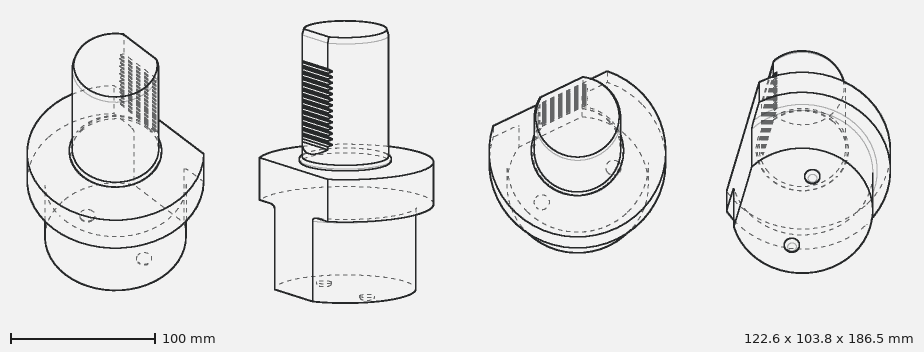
import cadquery as cq
import math

body_diameter = 98.0
body_height = 60.0
flange_diameter = 122.6
flange_height = 30.0
flange_flat_y = 42.5
neck_fillet = 3.0

shank_diameter = 60.0
shank_height = 94.0
shank_flat_y = 25.0
tip_height = 4.1
tip_taper_angle = 15
ramp_start_height = 14.2

groove_count = 14
groove_span = 52.0
first_groove_height = 17.9
groove_depth = 1.9
groove_mouth = 3.2
groove_floor = 0.5

ring_outer_diameter = 64.1
ring_section_radius = (ring_outer_diameter - shank_diameter) / 2
ring_center_height = 1.7

button_diameter = 10.6
button_drop = 2.5
button_rounding = 2.2
button_offset = 27.8

flange_bottom = body_height
flange_top = flange_bottom + flange_height
shank_top = flange_top + shank_height
shank_radius = shank_diameter / 2


def make_base():
    """Revolved body and flange with the neck fillet, trimmed by the common flat."""
    body_radius = body_diameter / 2
    flange_radius = flange_diameter / 2
    fillet_center = (body_radius + neck_fillet, flange_bottom - neck_fillet)
    fillet_reach = neck_fillet * math.sqrt(0.5)
    fillet_middle = (fillet_center[0] - fillet_reach, fillet_center[1] + fillet_reach)
    base = (
        cq.Workplane("XZ")
        .lineTo(body_radius, 0)
        .lineTo(body_radius, fillet_center[1])
        .threePointArc(fillet_middle, (fillet_center[0], flange_bottom))
        .lineTo(flange_radius, flange_bottom)
        .lineTo(flange_radius, flange_top)
        .lineTo(0, flange_top)
        .close()
        .revolve(360, (0, 0), (0, 1))
    )
    beyond_flat = cq.Workplane().box(
        flange_diameter, flange_diameter, flange_top, centered=(True, False, False)
    )
    return base.cut(beyond_flat.translate((0, flange_flat_y, 0)))


def make_tip():
    """Tapered end of the shank; the taper follows the round side and the flat."""
    flat_half_width = math.sqrt(shank_radius**2 - shank_flat_y**2)
    return (
        cq.Workplane(origin=(0, 0, shank_top - tip_height))
        .moveTo(-flat_half_width, shank_flat_y)
        .threePointArc((0, -shank_radius), (flat_half_width, shank_flat_y))
        .close()
        .extrude(tip_height, taper=tip_taper_angle)
    )


def make_shank():
    """Cylinder with a flat that runs out to the full diameter on a 45 degree ramp."""
    tip_bottom = shank_top - tip_height
    ramp_top = flange_top + ramp_start_height
    ramp_run = shank_radius - shank_flat_y
    cylinder = (
        cq.Workplane(origin=(0, 0, flange_top))
        .circle(shank_radius)
        .extrude(shank_height - tip_height)
    )
    flat_cutter = (
        cq.Workplane("YZ")
        .moveTo(shank_flat_y, tip_bottom)
        .lineTo(shank_flat_y, ramp_top)
        .lineTo(shank_radius, ramp_top - ramp_run)
        .lineTo(shank_radius, tip_bottom)
        .close()
        .extrude(shank_radius, both=True)
    )
    return cylinder.cut(flat_cutter).union(make_tip())


def make_groove(z):
    """Cutter for one serration groove centred at height z."""
    return (
        cq.Workplane("YZ")
        .moveTo(shank_flat_y, z - groove_mouth / 2)
        .lineTo(shank_flat_y - groove_depth, z - groove_floor / 2)
        .lineTo(shank_flat_y - groove_depth, z + groove_floor / 2)
        .lineTo(shank_flat_y, z + groove_mouth / 2)
        .close()
        .extrude(shank_radius, both=True)
    )


def make_seal_ring():
    """Round-section ring centred on the shank surface and partly sunk in the flange."""
    return (
        cq.Workplane("XZ")
        .center(shank_radius, flange_top + ring_center_height)
        .circle(ring_section_radius)
        .revolve(360, (-shank_radius, 0), (-shank_radius, 1))
    )


def make_button(x):
    """Round button with a rounded lower rim, hanging below the body."""
    return (
        cq.Workplane(origin=(x, 0, 0))
        .circle(button_diameter / 2)
        .extrude(-button_drop)
        .faces("<Z")
        .edges()
        .fillet(button_rounding)
    )


shank = make_shank()
groove_pitch = groove_span / (groove_count - 1)
for index in range(groove_count):
    shank = shank.cut(make_groove(flange_top + first_groove_height + index * groove_pitch))

result = make_base().union(shank).union(make_seal_ring())
for side in (-1, 1):
    result = result.union(make_button(side * button_offset))